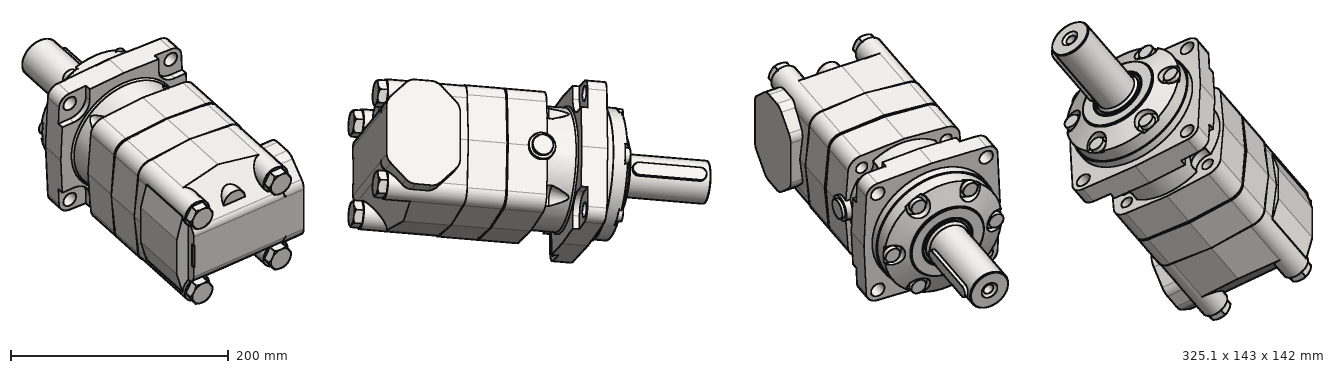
import cadquery as cq
import math


SHAFT_SHOULDER_X = 78.6
COVER_FACE_X = 81.0
CONE_START_X = 82.5
CONE_END_X = 90.0
PILOT_X = 103.7
FLANGE_X = 111.6
FLANGE_STEP_X = 129.9
FLANGE_END_X = 136.2
NECK_X = 138.0
BLOCK_X = 166.1
GROOVE_X = 203.6
GEAR_SET_X = 204.6
END_HOUSING_X = 241.6
BOLT_SEAT_X = 316.4
REAR_FACE_X = 321.7
OVERALL_LENGTH = 325.1

SHAFT_DIAMETER = 40.0
SHOULDER_DIAMETER = 45.0
SHAFT_CHAMFER = 0.8
SHAFT_INNER_END_X = 125.0
CENTRE_HOLE_DIAMETER = 10.1
CENTRE_HOLE_DEPTH = 28.0
CENTRE_SINK_DIAMETER = 16.4
CENTRE_SINK_DEPTH = 2.0
DRILL_POINT_ANGLE = 118.0
KEY_LENGTH = 70.0
KEY_WIDTH = 12.0
KEY_HEIGHT = 8.0
KEY_START_X = 4.8
KEY_TOP_Y = 23.0

COVER_FACE_RADIUS = 38.4
COVER_FACE_CHAMFER = 1.0
CONE_RADIUS = 61.2
PILOT_RADIUS = 62.5
SEAL_RADII = (26.2, 24.8)
SEAL_STEP = 0.8
SCREW_COUNT = 6
SCREW_CIRCLE_RADIUS = 54.0
SCREW_POCKET_DIAMETER = 22.6
SCREW_POCKET_X = 92.2
SCREW_HEAD_DIAMETER = 15.0
SCREW_HEAD_X = 87.1

FLANGE_HALF = 71.0
FLANGE_CORNER_RADIUS = 12.0
MOUNTING_CIRCLE_DIAMETER = 160.0
MOUNTING_HOLE_DIAMETER = 14.2
FLANGE_STEP_HALF = 38.6
NECK_RADIUS = 57.5
NECK_COLLAR_RADIUS = 59.2

BOLT_OFFSET = 44.0
BLOCK_HALF = 61.5
GEAR_SET_HALF = 62.2
END_HOUSING_HALF = 62.4
BODY_CORNER_RADIUS = 28.7 / 2
COLUMN_RADIUS = 13.7
CORE_CORNER_RADIUS = 13.35
GROOVE_DEPTH = 1.0
BOLT_DIAMETER = 14.0
BOLT_TIP_X = 184.0
BOLT_HOLE_DIAMETER = 11.84
BOLT_HEAD_FLATS = 22.0
BOLT_HEAD_CHAMFER = 1.5
SCALLOP_RADIUS = 24.12 / 2
SCALLOP_TIP_RADIUS = 3.6
SCALLOP_X = 157.5

DRAIN_X = 171.7
DRAIN_BOSS_RADIUS = 12.6
DRAIN_BOSS_Y = 63.5
DRAIN_PLUG_RADIUS = 9.7
DRAIN_PLUG_Y = 66.6

SLOPE_START_X = 287.0
REAR_HALF_WIDTH = 51.5
REAR_STEP_X = 313.2
REAR_EDGE_RADIUS = 10.0
VALVE_BOSS_RADIUS = 12.0
VALVE_BOSS_Z = 36.0
PAD_START_X = 255.2
PAD_FLAT_HALF = 20.2
PAD_HALF = 44.5
PAD_Y = 64.5
PAD_EDGE_Y = 58.0
PAD_BASE_Y = 50.0
REAR_NOTCH_WIDTH = 24.8
REAR_NOTCH_LENGTH = 2.9
REAR_NOTCH_DEPTH = 1.0
PORT_START_X = 252.0
PORT_HALF_HEIGHT = 50.7
PORT_FACE_Y = 72.0
PORT_BASE_Y = 50.0
PORT_SLOPE = 22.0
PORT_CORNER_RADIUS = 12.7

CORNERS = [(y, z) for y in (-1, 1) for z in (-1, 1)]
BOLT_POINTS = [(BOLT_OFFSET * y, BOLT_OFFSET * z) for y, z in CORNERS]


def cross_plane(x):
    """Plane across the shaft axis: local x is Y and local y is Z."""
    return cq.Workplane("YZ", origin=(x, 0, 0))


def rod(x_start, x_end, radius, points=((0, 0),)):
    return cross_plane(x_start).pushPoints(points).circle(radius).extrude(x_end - x_start)


def revolved(profile):
    """Solid turned about the X axis from (x, radius) points."""
    return cq.Workplane("XY").polyline(profile).close().revolve(360, (0, 0, 0), (1, 0, 0))


def crowned_square(x_start, x_end, half, corner_offset, corner_radius):
    """Square prism whose sides peak in the middle and run tangent into round corners."""
    reach = math.hypot(corner_offset, half - corner_offset)
    tilt = math.asin(corner_radius / reach) - math.atan2(half - corner_offset, corner_offset)
    near = corner_offset + corner_radius * math.cos(tilt)
    along = corner_offset - corner_radius * math.sin(tilt)
    middle = corner_offset + corner_radius * math.sqrt(0.5)
    outline = cross_plane(x_start).moveTo(0, half)
    for quarter in range(4):
        turn = -math.pi / 2 * quarter
        cos_t, sin_t = round(math.cos(turn)), round(math.sin(turn))
        start, mid, end, peak = [
            (cos_t * y - sin_t * z, sin_t * y + cos_t * z)
            for y, z in ((along, near), (middle, middle), (near, along), (half, 0))
        ]
        outline = outline.lineTo(*start).threePointArc(mid, end).lineTo(*peak)
    return outline.close().extrude(x_end - x_start)


def make_key():
    """Round-ended key on the +Y side, formed in one piece with the shaft."""
    return (
        cq.Workplane("XZ", origin=(KEY_START_X + KEY_LENGTH / 2, KEY_TOP_Y, 0))
        .slot2D(KEY_LENGTH, KEY_WIDTH)
        .extrude(KEY_HEIGHT)
    )


def make_shaft():
    radius = SHAFT_DIAMETER / 2
    shoulder = SHOULDER_DIAMETER / 2
    body = revolved([
        (0, 0),
        (0, radius - SHAFT_CHAMFER),
        (SHAFT_CHAMFER, radius),
        (SHAFT_SHOULDER_X, radius),
        (COVER_FACE_X, shoulder),
        (SHAFT_INNER_END_X, shoulder),
        (SHAFT_INNER_END_X, 0),
    ])
    hole = CENTRE_HOLE_DIAMETER / 2
    sink = CENTRE_SINK_DIAMETER / 2
    point_length = hole / math.tan(math.radians(DRILL_POINT_ANGLE / 2))
    centre_hole = revolved([
        (0, 0),
        (0, sink),
        (CENTRE_SINK_DEPTH, hole),
        (CENTRE_HOLE_DEPTH, hole),
        (CENTRE_HOLE_DEPTH + point_length, 0),
    ])
    return body.cut(centre_hole).union(make_key())


def make_cover():
    """Conical front cover, pilot and seal recess, with the screw heads sunk in pockets."""
    cover = revolved([
        (COVER_FACE_X, 0),
        (COVER_FACE_X, COVER_FACE_RADIUS - COVER_FACE_CHAMFER),
        (COVER_FACE_X + COVER_FACE_CHAMFER, COVER_FACE_RADIUS),
        (CONE_START_X, COVER_FACE_RADIUS),
        (CONE_END_X, CONE_RADIUS),
        (PILOT_X, CONE_RADIUS),
        (PILOT_X, PILOT_RADIUS),
        (FLANGE_X, PILOT_RADIUS),
        (FLANGE_X, 0),
    ])
    for step, radius in enumerate(SEAL_RADII, start=1):
        cover = cover.cut(rod(COVER_FACE_X, COVER_FACE_X + step * SEAL_STEP, radius))
    angles = [2 * math.pi * i / SCREW_COUNT for i in range(SCREW_COUNT)]
    points = [(SCREW_CIRCLE_RADIUS * math.cos(a), SCREW_CIRCLE_RADIUS * math.sin(a)) for a in angles]
    cover = cover.cut(rod(COVER_FACE_X, SCREW_POCKET_X, SCREW_POCKET_DIAMETER / 2, points))
    return cover.union(rod(SCREW_HEAD_X, SCREW_POCKET_X, SCREW_HEAD_DIAMETER / 2, points))


def make_flange():
    offset = MOUNTING_CIRCLE_DIAMETER / 2 * math.sqrt(0.5)
    flange = crowned_square(FLANGE_X, FLANGE_END_X, FLANGE_HALF, offset, FLANGE_CORNER_RADIUS)
    step_size = 2 * (FLANGE_HALF - FLANGE_STEP_HALF)
    corner_step = (
        cross_plane(FLANGE_STEP_X)
        .rect(step_size, step_size)
        .extrude(FLANGE_END_X - FLANGE_STEP_X)
        .edges("|X")
        .fillet(offset - FLANGE_STEP_HALF)
    )
    for y, z in CORNERS:
        flange = flange.cut(corner_step.translate((0, FLANGE_HALF * y, FLANGE_HALF * z)))
    points = [(offset * y, offset * z) for y, z in CORNERS]
    holes = rod(FLANGE_X, FLANGE_END_X, MOUNTING_HOLE_DIAMETER / 2, points)
    return flange.cut(holes)


def make_neck():
    """Round neck with a tapered scallop in front of each corner bolt hole."""
    neck = revolved([
        (FLANGE_END_X, 0),
        (FLANGE_END_X, NECK_COLLAR_RADIUS),
        (NECK_X, NECK_RADIUS),
        (BLOCK_X, NECK_RADIUS),
        (BLOCK_X, 0),
    ])
    scallop = revolved([
        (NECK_X, 0),
        (NECK_X, SCALLOP_TIP_RADIUS),
        (SCALLOP_X, SCALLOP_RADIUS),
        (BLOCK_X, SCALLOP_RADIUS),
        (BLOCK_X, 0),
    ])
    for y, z in BOLT_POINTS:
        neck = neck.cut(scallop.translate((0, y, z)))
    return neck


def make_drain():
    """Drain boss on the +Y side with its plug head."""
    side = cq.Workplane("XZ", origin=(DRAIN_X, 0, 0))
    boss = side.circle(DRAIN_BOSS_RADIUS).extrude(-DRAIN_BOSS_Y)
    plug = side.circle(DRAIN_PLUG_RADIUS).extrude(-DRAIN_PLUG_Y)
    return boss.union(plug)


def make_bolt():
    """Hexagon head bolt centred on the X axis."""
    corner_diameter = BOLT_HEAD_FLATS / math.cos(math.pi / 6)
    head = (
        cross_plane(BOLT_SEAT_X)
        .polygon(6, corner_diameter)
        .extrude(OVERALL_LENGTH - BOLT_SEAT_X)
    )
    rounding = rod(BOLT_SEAT_X, OVERALL_LENGTH, corner_diameter / 2)
    head = head.intersect(rounding.faces(">X").chamfer(BOLT_HEAD_CHAMFER))
    return head.union(rod(BOLT_TIP_X, BOLT_SEAT_X, BOLT_DIAMETER / 2))


def make_bolts():
    return [make_bolt().translate((0, y, z)) for y, z in BOLT_POINTS]


def bolt_bores():
    return rod(BOLT_TIP_X, BOLT_SEAT_X, BOLT_DIAMETER / 2, BOLT_POINTS)


def make_front_housing():
    block = crowned_square(BLOCK_X, GROOVE_X, BLOCK_HALF, BOLT_OFFSET, BODY_CORNER_RADIUS)
    groove_floor = crowned_square(
        GROOVE_X, GEAR_SET_X, BLOCK_HALF - GROOVE_DEPTH, BOLT_OFFSET, BODY_CORNER_RADIUS - GROOVE_DEPTH
    )
    thread_bores = rod(BLOCK_X, BOLT_TIP_X, BOLT_HOLE_DIAMETER / 2, BOLT_POINTS)
    shaft_bore = rod(COVER_FACE_X, SHAFT_INNER_END_X, SHOULDER_DIAMETER / 2)
    housing = make_cover().union(make_flange()).union(make_neck()).union(block).union(groove_floor)
    return housing.union(make_drain()).cut(thread_bores).cut(bolt_bores()).cut(shaft_bore)


def make_gear_set():
    ring = crowned_square(GEAR_SET_X, END_HOUSING_X, GEAR_SET_HALF, BOLT_OFFSET, BODY_CORNER_RADIUS)
    return ring.cut(bolt_bores())


def make_port_block():
    """Octagonal port block with round corners, standing out on the +Y side."""
    return (
        cq.Workplane("XZ", origin=((PORT_START_X + REAR_FACE_X) / 2, PORT_BASE_Y, 0))
        .rect(REAR_FACE_X - PORT_START_X, 2 * PORT_HALF_HEIGHT)
        .extrude(PORT_BASE_Y - PORT_FACE_Y)
        .edges("|Y")
        .chamfer(PORT_SLOPE)
        .edges("|Y")
        .fillet(PORT_CORNER_RADIUS)
    )


def make_side_pad():
    """Faceted pad on the -Y side: a flat middle band between two sloping bands."""
    return (
        cross_plane(PAD_START_X)
        .polyline([
            (-PAD_BASE_Y, -PAD_HALF),
            (-PAD_EDGE_Y, -PAD_HALF),
            (-PAD_Y, -PAD_FLAT_HALF),
            (-PAD_Y, PAD_FLAT_HALF),
            (-PAD_EDGE_Y, PAD_HALF),
            (-PAD_BASE_Y, PAD_HALF),
        ])
        .close()
        .extrude(REAR_STEP_X - PAD_START_X)
    )


def make_end_core():
    """Square core whose top and bottom slope at 45 degrees down to the rear face."""
    core = crowned_square(END_HOUSING_X, REAR_STEP_X, END_HOUSING_HALF, BOLT_OFFSET, CORE_CORNER_RADIUS)
    rear = (
        cross_plane(END_HOUSING_X)
        .rect(2 * REAR_HALF_WIDTH, 2 * BOLT_OFFSET)
        .extrude(REAR_FACE_X - END_HOUSING_X)
    )
    rear_half = END_HOUSING_HALF - (REAR_FACE_X - SLOPE_START_X)
    wedge = (
        cq.Workplane("XZ")
        .polyline([
            (END_HOUSING_X, -END_HOUSING_HALF),
            (SLOPE_START_X, -END_HOUSING_HALF),
            (REAR_FACE_X, -rear_half),
            (REAR_FACE_X, rear_half),
            (SLOPE_START_X, END_HOUSING_HALF),
            (END_HOUSING_X, END_HOUSING_HALF),
        ])
        .close()
        .extrude(PAD_Y, both=True)
        .faces(">X")
        .edges("|Y")
        .fillet(REAR_EDGE_RADIUS)
    )
    return core.union(rear).intersect(wedge)


def make_end_housing():
    columns = rod(END_HOUSING_X, BOLT_SEAT_X, COLUMN_RADIUS, BOLT_POINTS)
    valve_boss = rod(SLOPE_START_X, REAR_STEP_X, VALVE_BOSS_RADIUS, [(0, VALVE_BOSS_Z)])
    notch = cq.Workplane("XY").box(REAR_NOTCH_LENGTH, REAR_NOTCH_DEPTH, REAR_NOTCH_WIDTH).translate((
        REAR_FACE_X - REAR_NOTCH_LENGTH / 2,
        REAR_NOTCH_DEPTH / 2 - REAR_HALF_WIDTH,
        0,
    ))
    housing = make_end_core().union(columns).union(valve_boss)
    housing = housing.union(make_port_block()).union(make_side_pad()).cut(notch)
    for bolt in make_bolts():
        housing = housing.cut(bolt)
    return housing


shaft = make_shaft()
front_housing = make_front_housing()
gear_set = make_gear_set()
end_housing = make_end_housing()
bolts = make_bolts()

result = cq.Compound.makeCompound([
    shaft.val(),
    front_housing.val(),
    gear_set.val(),
    end_housing.val(),
    *[bolt.val() for bolt in bolts],
])